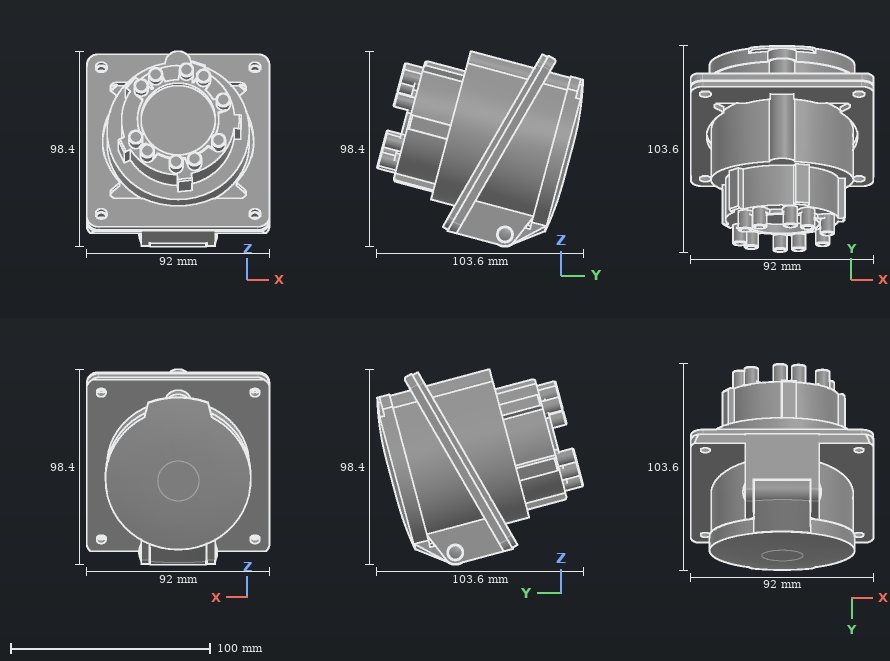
import cadquery as cq
import math

SOCKET_TILT = 15.0
FLANGE_TILT = 15.0

SHROUD_R = 35.75
SHROUD_LENGTH = 54.0
RIB_R = 6.4
RIB_Y = 35.1

FRONT_PLATE_W = 91.7
REAR_PLATE_W = 92.0
FRONT_PLATE_H = 100.2
REAR_PLATE_H = 102.0
FRONT_PLATE_T = 3.1
REAR_PLATE_T = 4.6
FLANGE_CORNER_R = 6.0
TOP_EDGE_CHAMFER = 0.8
FLANGE_Y = 0.9
FLANGE_Z = -22.2
SCREW_X = 38.6
SCREW_Y = 42.5
SCREW_D = 5.8
SCREW_TIP_D = 4.8
WINDOW_R = 38.0
WINDOW_HALF_H = 33.6
WINDOW_CORNER_X = 38.6
WINDOW_CORNER_R = 3.1
LEDGE_T = 1.0
LEDGE_CORNER_SUM = 64.2
NOTCH_W = 11.8
NOTCH_TOP_Y = 42.3

CARRIER_R = 28.4
CARRIER_LENGTH = 20.8
KEY_ANGLES = (71, 140.6, 205.2, 276.4, 358.5)
KEY_W = 7.2
KEY_REACH = 31.5
KEY_CHAMFER = 0.9
RING_R = 20.4
RING_H = 2.2
BORE_R = 18.7
BORE_DEPTH = 4.7

PIN_ANGLES = (19.6, 58, 80, 118, 140.2, 208, 230, 267.5, 290, 327.5)
PIN_CIRCLE_R = 24.1
PIN_R = 3.5
PIN_LENGTH = 9.6
PIN_CHAMFER = 0.5

LID_R = 36.5
LID_FRONT_Z = -51.9
LID_APEX_Z = -61.9
LID_DOME_R = 143.2
LID_FLAT_R = 10.4
LID_ARC_ANGLE = 20.0
LID_RIB_R = 7.2
TAB_FRONT_Z = -57.1
TAB_ROOT_Y = 31.8
TAB_ROOT_HALF_W = 17.0
TAB_TIP_R = RIB_Y + LID_RIB_R
TAB_TIP_HALF_W = 14.3

HINGE_Y = -43.1
HINGE_Z = -40.5
BRACKET_W = 37.1
BRACKET_R = 5.8
BRACKET_BOTTOM_Y = HINGE_Y - BRACKET_R
BRACKET_TOP_Y = -25.9
BRACKET_REAR_Y = -31.1
SLOT_W = 28.8
SLOT_TOP_Y = -37.1
SLOT_FRONT_Z = -35.5
KNUCKLE_R = 6.2
STRAP_HALF_W = 14.3
STRAP_TIP_HALF_W = 14.0
STRAP_REAR_Z = -59.2
STRAP_TIP_Z = -44.1
STRAP_TIP_Y = -47.8
RIVET_R = 4.0
RIVET_COLLAR_H = 0.3
RIVET_HEAD_R = 3.5
RIVET_HEAD_H = 1.1
RIVET_DOME_H = RIVET_HEAD_H - RIVET_COLLAR_H
RIVET_DOME_R = (RIVET_HEAD_R**2 + RIVET_DOME_H**2) / (2 * RIVET_DOME_H)


def cylinder(radius, z_from, z_to, x=0, y=0):
    return cq.Workplane("XY", origin=(x, y, z_from)).circle(radius).extrude(z_to - z_from)


def side_profile(points, width):
    """Extrude a closed (Y, Z) outline symmetrically about X = 0."""
    return cq.Workplane("YZ").polyline(points).close().extrude(width / 2, both=True)


def hinge_cylinder(radius, width):
    return cq.Workplane("YZ").center(HINGE_Y, HINGE_Z).circle(radius).extrude(width / 2, both=True)


def make_shroud():
    barrel = cylinder(SHROUD_R, -SHROUD_LENGTH, 0)
    return barrel.union(cylinder(RIB_R, -SHROUD_LENGTH, 0, y=RIB_Y))


def make_flange():
    front = cq.Workplane("XY").rect(FRONT_PLATE_W, FRONT_PLATE_H).extrude(-FRONT_PLATE_T)
    front = front.edges("|Z").fillet(FLANGE_CORNER_R)
    rear = cq.Workplane("XY", origin=(0, 0, -FRONT_PLATE_T)).rect(REAR_PLATE_W, REAR_PLATE_H)
    rear = rear.extrude(-REAR_PLATE_T).edges(">Y and <Z").chamfer(TOP_EDGE_CHAMFER)
    rear = rear.edges("|Z").fillet(FLANGE_CORNER_R)

    waist_x = WINDOW_CORNER_X - WINDOW_HALF_H
    hourglass = [
        (-WINDOW_CORNER_X, -WINDOW_HALF_H),
        (WINDOW_CORNER_X, -WINDOW_HALF_H),
        (waist_x, 0),
        (WINDOW_CORNER_X, WINDOW_HALF_H),
        (-WINDOW_CORNER_X, WINDOW_HALF_H),
        (-waist_x, 0),
    ]
    window = cq.Workplane("XY").polyline(hourglass).close().extrude(-FRONT_PLATE_T)
    window = window.edges("|Z and (<X or >X)").fillet(WINDOW_CORNER_R)
    ledge_outline = [
        (LEDGE_CORNER_SUM - WINDOW_HALF_H, WINDOW_HALF_H),
        (WINDOW_CORNER_X, WINDOW_HALF_H),
        (WINDOW_CORNER_X, LEDGE_CORNER_SUM - WINDOW_CORNER_X),
    ]
    ledge = cq.Workplane("XY", origin=(0, 0, -FRONT_PLATE_T)).polyline(ledge_outline).close()
    ledge = ledge.extrude(LEDGE_T)
    window = window.cut(ledge).cut(ledge.mirror("YZ"))
    front = front.cut(window).cut(cylinder(WINDOW_R, -FRONT_PLATE_T, 0))
    notch = cq.Workplane("XY", origin=(0, NOTCH_TOP_Y / 2, 0)).rect(NOTCH_W, NOTCH_TOP_Y)
    front = front.cut(notch.extrude(-FRONT_PLATE_T))

    flange = front.union(rear)
    screws = cq.Workplane("XY").rect(2 * SCREW_X, 2 * SCREW_Y, forConstruction=True).vertices()
    flange = flange.cut(screws.circle(SCREW_TIP_D / 2).extrude(-FRONT_PLATE_T - REAR_PLATE_T))
    flange = flange.cut(screws.circle(SCREW_D / 2).extrude(-FRONT_PLATE_T))
    flange = flange.rotate((0, 0, 0), (1, 0, 0), -FLANGE_TILT)
    flange = flange.translate((0, FLANGE_Y, FLANGE_Z))
    trim = cq.Workplane("XY", origin=(0, BRACKET_BOTTOM_Y, FLANGE_Z))
    trim = trim.box(REAR_PLATE_W, REAR_PLATE_H, REAR_PLATE_H)
    return flange.cut(trim.translate((0, -REAR_PLATE_H / 2, 0)))


def make_carrier():
    carrier = cylinder(CARRIER_R, 0, CARRIER_LENGTH)
    key = cq.Workplane("XY").box(KEY_REACH, KEY_W, CARRIER_LENGTH, centered=(False, True, False))
    key = key.edges(">X and >Z").chamfer(KEY_CHAMFER)
    for angle in KEY_ANGLES:
        carrier = carrier.union(key.rotate((0, 0, 0), (0, 0, 1), angle))

    rim_z = CARRIER_LENGTH + RING_H
    carrier = carrier.union(cylinder(RING_R, CARRIER_LENGTH, rim_z))

    web = cq.Workplane("XY", origin=(0, 0, CARRIER_LENGTH))
    web = web.box(PIN_CIRCLE_R, 2 * PIN_R, RING_H, centered=(False, True, False))
    pin = cylinder(PIN_R, CARRIER_LENGTH, CARRIER_LENGTH + PIN_LENGTH, x=PIN_CIRCLE_R)
    contact = web.union(pin.faces(">Z").chamfer(PIN_CHAMFER))
    for angle in PIN_ANGLES:
        carrier = carrier.union(contact.rotate((0, 0, 0), (0, 0, 1), angle))
    return carrier.cut(cylinder(BORE_R, rim_z - BORE_DEPTH, rim_z))


def make_bracket():
    to_corner_y = BRACKET_REAR_Y - HINGE_Y
    to_corner_z = LID_FRONT_Z - HINGE_Z
    corner_angle = math.atan2(to_corner_z, to_corner_y)
    tangent_angle = corner_angle - math.acos(BRACKET_R / math.hypot(to_corner_y, to_corner_z))
    tangent = (
        HINGE_Y + BRACKET_R * math.cos(tangent_angle),
        HINGE_Z + BRACKET_R * math.sin(tangent_angle),
    )
    middle_z = FLANGE_Z - FRONT_PLATE_T

    def front_edge(y):
        return (y, middle_z - (y - FLANGE_Y) * math.tan(math.radians(FLANGE_TILT)))

    outline = [
        (BRACKET_TOP_Y, LID_FRONT_Z),
        (BRACKET_REAR_Y, LID_FRONT_Z),
        tangent,
        (HINGE_Y, HINGE_Z),
        (BRACKET_BOTTOM_Y, HINGE_Z),
        front_edge(BRACKET_BOTTOM_Y),
        front_edge(BRACKET_TOP_Y),
    ]
    bracket = side_profile(outline, BRACKET_W).union(hinge_cylinder(BRACKET_R, BRACKET_W))

    slot = [
        (SLOT_TOP_Y, LID_FRONT_Z),
        (BRACKET_BOTTOM_Y, LID_FRONT_Z),
        (BRACKET_BOTTOM_Y, SLOT_FRONT_Z),
        (SLOT_TOP_Y, SLOT_FRONT_Z),
    ]
    return bracket.cut(side_profile(slot, SLOT_W))


def make_strap():
    rim_side_y = -math.sqrt(LID_R**2 - STRAP_HALF_W**2)
    strap = (
        cq.Workplane("XY", origin=(0, 0, STRAP_REAR_Z))
        .moveTo(-STRAP_HALF_W, BRACKET_REAR_Y)
        .lineTo(-STRAP_HALF_W, rim_side_y)
        .threePointArc((0, -LID_R), (STRAP_HALF_W, rim_side_y))
        .lineTo(STRAP_HALF_W, BRACKET_REAR_Y)
        .close()
        .workplane(offset=STRAP_TIP_Z - STRAP_REAR_Z)
        .moveTo(-STRAP_TIP_HALF_W, BRACKET_REAR_Y)
        .lineTo(-STRAP_TIP_HALF_W, STRAP_TIP_Y)
        .lineTo(STRAP_TIP_HALF_W, STRAP_TIP_Y)
        .lineTo(STRAP_TIP_HALF_W, BRACKET_REAR_Y)
        .close()
        .loft(ruled=True)
    )
    clearance = cq.Workplane("XY", origin=(0, SLOT_TOP_Y, LID_FRONT_Z))
    clearance = clearance.box(SLOT_W, -SLOT_TOP_Y, -LID_FRONT_Z, centered=(True, False, False))
    knuckle = hinge_cylinder(KNUCKLE_R, 2 * STRAP_TIP_HALF_W)
    return strap.cut(clearance).union(knuckle)


def make_lid():
    lid = cylinder(LID_R, LID_APEX_Z, LID_FRONT_Z)
    lid = lid.union(cylinder(LID_RIB_R, TAB_FRONT_Z, LID_FRONT_Z, y=RIB_Y))

    tab_outline = [
        (-TAB_ROOT_HALF_W, TAB_ROOT_Y),
        (TAB_ROOT_HALF_W, TAB_ROOT_Y),
        (TAB_TIP_HALF_W, TAB_TIP_R),
        (-TAB_TIP_HALF_W, TAB_TIP_R),
    ]
    tab = cq.Workplane("XY", origin=(0, 0, LID_APEX_Z)).polyline(tab_outline).close()
    tab = tab.extrude(TAB_FRONT_Z - LID_APEX_Z)
    tab = tab.intersect(cylinder(TAB_TIP_R, LID_APEX_Z, TAB_FRONT_Z))
    lid = lid.union(tab).union(make_strap())

    def dome_point(angle):
        turn = math.radians(angle)
        return (LID_FLAT_R + LID_DOME_R * math.sin(turn), LID_APEX_Z + LID_DOME_R * (1 - math.cos(turn)))

    mid_point = dome_point(LID_ARC_ANGLE / 2)
    edge_point = dome_point(LID_ARC_ANGLE)
    envelope = (
        cq.Workplane("XZ")
        .moveTo(0, LID_APEX_Z)
        .lineTo(LID_FLAT_R, LID_APEX_Z)
        .threePointArc(mid_point, edge_point)
        .lineTo(edge_point[0], 0)
        .lineTo(0, 0)
        .close()
        .revolve()
    )
    return lid.intersect(envelope)


def make_rivet():
    collar_x = BRACKET_W / 2 + RIVET_COLLAR_H
    crown_x = BRACKET_W / 2 + RIVET_HEAD_H
    crown_drop = RIVET_DOME_R - math.sqrt(RIVET_DOME_R**2 - (RIVET_HEAD_R / 2) ** 2)
    half = (
        cq.Workplane("XY")
        .lineTo(0, RIVET_R)
        .lineTo(collar_x, RIVET_R)
        .lineTo(collar_x, RIVET_HEAD_R)
        .threePointArc((crown_x - crown_drop, RIVET_HEAD_R / 2), (crown_x, 0))
        .close()
        .revolve(360, (0, 0, 0), (1, 0, 0))
    )
    return half.union(half.mirror("YZ")).translate((0, HINGE_Y, HINGE_Z))


connector = make_shroud()
for component in (make_flange(), make_carrier(), make_bracket(), make_lid(), make_rivet()):
    connector = connector.union(component)

result = connector.rotate((0, 0, 0), (1, 0, 0), 90 - SOCKET_TILT)